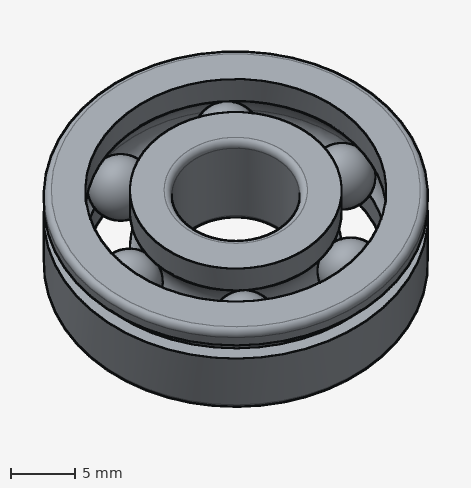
import cadquery as cq

outer_diameter = 30.0
bore_diameter = 10.0
width = 9.0
inner_ring_outer_diameter = 16.53
outer_ring_inner_diameter = 23.5
edge_radius = 0.6

snap_groove_diameter = 27.85
snap_groove_top_offset = 1.5
snap_groove_width = 1.53

ball_count = 6
ball_diameter = 5.22
pitch_radius = (outer_diameter + bore_diameter) / 4
mid_height = width / 2


def make_ring(outside, inside):
    """Plain ring standing on the XY plane."""
    return cq.Workplane("XY").circle(outside / 2).circle(inside / 2).extrude(width)


def make_raceway():
    """Torus swept by the balls, used to cut the raceways."""
    return (
        cq.Workplane("XZ")
        .center(pitch_radius, mid_height)
        .circle(ball_diameter / 2)
        .revolve(360, (-pitch_radius, 0), (-pitch_radius, 1))
    )


def make_inner_ring():
    """Inner ring with rounded bore edges and a ball raceway."""
    ring = make_ring(inner_ring_outer_diameter, bore_diameter)
    bore_edges = cq.selectors.RadiusNthSelector(0)
    ring = ring.edges("%CIRCLE").edges(bore_edges).fillet(edge_radius)
    return ring.cut(make_raceway())


def make_outer_ring():
    """Outer ring with rounded outside edges, a snap-ring groove and a ball raceway."""
    ring = make_ring(outer_diameter, outer_ring_inner_diameter)
    outside_edges = cq.selectors.RadiusNthSelector(-1)
    ring = ring.edges("%CIRCLE").edges(outside_edges).fillet(edge_radius)
    snap_groove = (
        cq.Workplane("XY")
        .workplane(offset=width - snap_groove_top_offset - snap_groove_width)
        .circle(outer_diameter / 2)
        .circle(snap_groove_diameter / 2)
        .extrude(snap_groove_width)
    )
    return ring.cut(snap_groove).cut(make_raceway())


def make_ball(angle):
    """One ball on the pitch circle, at an angle in degrees from +X."""
    return (
        cq.Workplane("XY")
        .sphere(ball_diameter / 2)
        .translate((pitch_radius, 0, mid_height))
        .rotate((0, 0, 0), (0, 0, 1), angle)
    )


inner_ring = make_inner_ring()
outer_ring = make_outer_ring()
balls = [make_ball(index * 360 / ball_count) for index in range(ball_count)]

result = cq.Compound.makeCompound(
    [inner_ring.val(), outer_ring.val(), *[ball.val() for ball in balls]]
)